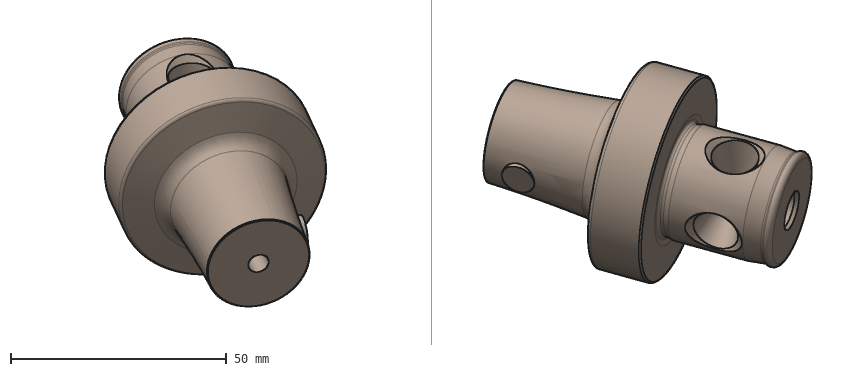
import cadquery as cq
import math

TOTAL_LENGTH = 72.0
FLANGE_START = 28.0
CONE_BACK = 41.2
OUTER_RADIUS = 25.0

SHANK_RADIUS = 14.0
BEAD_RADIUS = 1.2
BEAD_EXIT_ANGLE = math.radians(30)
VALLEY_DEPTH = 0.47
VALLEY_ROUNDING = 0.7
LEAD_IN_END = 6.9

UNDERCUT_START = 25.4
UNDERCUT_DEPTH = 0.35
UNDERCUT_ANGLE = math.radians(15)
UNDERCUT_ROUNDING = 0.7
FACE_RELIEF_RADIUS = 15.85
FACE_RELIEF_ANGLE = math.radians(8)

RIM_CHAMFER = 0.4
RIM_ROUNDING = 0.9
CONE_ANGLE = math.radians(15)

NOSE_ROOT_RADIUS = 14.55
NOSE_MIDDLE_X = 59.05
NOSE_MIDDLE_RADIUS = 13.1
NOSE_END_RADIUS = 12.4
NOSE_FILLET = 3.95
NOSE_CHAMFER = 0.2

THROUGH_RADIUS = 2.45
BORE_RADIUS = 4.3
BORE_DEPTH = 28.8
BORE_TIP_ANGLE = math.radians(60)
BORE_CHAMFER_WIDTH = 0.4
BORE_CHAMFER_LENGTH = 1.0

CROSS_HOLE_X = 14.1
CROSS_HOLE_NECK_RADIUS = 5.55
CROSS_HOLE_NECK_HEIGHT = 12.45
CROSS_HOLE_ANGLE = math.radians(15)
COUNTERSINK_HEIGHT = 2.9

SCREW_X = 62.9
SCREW_RADIUS = 4.0
SCREW_TOP = 13.3
SCREW_LENGTH = 7.2

BEAD_EXIT_X = BEAD_RADIUS * (1 + math.sin(BEAD_EXIT_ANGLE))
BEAD_EXIT_RADIUS = SHANK_RADIUS - BEAD_RADIUS * (1 - math.cos(BEAD_EXIT_ANGLE))
VALLEY_RADIUS = SHANK_RADIUS - VALLEY_DEPTH
VALLEY_X = BEAD_EXIT_X + (BEAD_EXIT_RADIUS - VALLEY_RADIUS) / math.tan(BEAD_EXIT_ANGLE)
UNDERCUT_RADIUS = SHANK_RADIUS - UNDERCUT_DEPTH
UNDERCUT_CORNER_X = FLANGE_START + (FACE_RELIEF_RADIUS - UNDERCUT_RADIUS) * math.tan(FACE_RELIEF_ANGLE)
NOSE_ROOT_X = CONE_BACK + (OUTER_RADIUS - NOSE_ROOT_RADIUS) * math.tan(CONE_ANGLE)


def body_outline():
    """Half section of the body in the XY plane: X along the axis, Y as radius."""
    bead_middle = BEAD_RADIUS * math.sqrt(0.5)
    undercut_slope_end = UNDERCUT_START + UNDERCUT_DEPTH / math.tan(UNDERCUT_ANGLE)
    return (
        cq.Workplane("XY")
        .lineTo(0, SHANK_RADIUS - BEAD_RADIUS)
        .threePointArc(
            (BEAD_RADIUS - bead_middle, SHANK_RADIUS - BEAD_RADIUS + bead_middle),
            (BEAD_EXIT_X, BEAD_EXIT_RADIUS),
        )
        .lineTo(VALLEY_X, VALLEY_RADIUS)
        .lineTo(LEAD_IN_END, SHANK_RADIUS)
        .lineTo(UNDERCUT_START, SHANK_RADIUS)
        .lineTo(undercut_slope_end, UNDERCUT_RADIUS)
        .lineTo(UNDERCUT_CORNER_X, UNDERCUT_RADIUS)
        .lineTo(FLANGE_START, FACE_RELIEF_RADIUS)
        .lineTo(FLANGE_START, OUTER_RADIUS - RIM_CHAMFER)
        .lineTo(FLANGE_START + RIM_CHAMFER, OUTER_RADIUS)
        .lineTo(CONE_BACK, OUTER_RADIUS)
        .lineTo(NOSE_ROOT_X, NOSE_ROOT_RADIUS)
        .threePointArc((NOSE_MIDDLE_X, NOSE_MIDDLE_RADIUS), (TOTAL_LENGTH, NOSE_END_RADIUS))
        .lineTo(TOTAL_LENGTH, 0)
        .close()
    )


def circle_edge_at(x, radius):
    """Selector for the circular edge around the X axis at one station and radius."""
    margin = 0.035
    reach = radius + margin
    return cq.selectors.BoxSelector(
        (x - margin, -reach, -reach), (x + margin, reach, reach), boundingbox=True
    )


def make_blank():
    """Turned outside of the body with its round transitions."""
    blank = body_outline().revolve(360, (0, 0, 0), (1, 0, 0))
    roundings = [
        (VALLEY_X, VALLEY_RADIUS, VALLEY_ROUNDING),
        (UNDERCUT_CORNER_X, UNDERCUT_RADIUS, UNDERCUT_ROUNDING),
        (CONE_BACK, OUTER_RADIUS, RIM_ROUNDING),
        (NOSE_ROOT_X, NOSE_ROOT_RADIUS, NOSE_FILLET),
    ]
    for x, radius, rounding in roundings:
        blank = blank.edges(circle_edge_at(x, radius)).fillet(rounding)
    return blank.faces(">X").edges().chamfer(NOSE_CHAMFER)


def make_axial_bore():
    """Stepped bore with a chamfered mouth and a conical step, as a cutting shape."""
    tip_end = BORE_DEPTH + (BORE_RADIUS - THROUGH_RADIUS) / math.tan(BORE_TIP_ANGLE)
    return (
        cq.Workplane("XY")
        .lineTo(0, BORE_RADIUS + BORE_CHAMFER_WIDTH)
        .lineTo(BORE_CHAMFER_LENGTH, BORE_RADIUS)
        .lineTo(BORE_DEPTH, BORE_RADIUS)
        .lineTo(tip_end, THROUGH_RADIUS)
        .lineTo(TOTAL_LENGTH, THROUGH_RADIUS)
        .lineTo(TOTAL_LENGTH, 0)
        .close()
        .revolve(360, (0, 0, 0), (1, 0, 0))
    )


def make_cross_hole():
    """Countersunk conical hole pointing to +Z, from the axis outwards, as a cutting shape."""
    axis_radius = CROSS_HOLE_NECK_RADIUS - CROSS_HOLE_NECK_HEIGHT * math.tan(CROSS_HOLE_ANGLE)
    top = CROSS_HOLE_NECK_HEIGHT + COUNTERSINK_HEIGHT
    return (
        cq.Workplane("XZ")
        .lineTo(axis_radius, 0)
        .lineTo(CROSS_HOLE_NECK_RADIUS, CROSS_HOLE_NECK_HEIGHT)
        .lineTo(CROSS_HOLE_NECK_RADIUS + COUNTERSINK_HEIGHT, top)
        .lineTo(0, top)
        .close()
        .revolve(360, (0, 0, 0), (0, 1, 0))
        .translate((CROSS_HOLE_X, 0, 0))
    )


def make_screw():
    """Plain cylindrical clamping screw along Y."""
    screw_bottom = SCREW_TOP - SCREW_LENGTH
    return (
        cq.Workplane("XZ", origin=(SCREW_X, screw_bottom, 0))
        .circle(SCREW_RADIUS)
        .extrude(-SCREW_LENGTH)
    )


def make_body(screw):
    """Holder body with its bore, cross holes and screw seat."""
    body = make_blank().cut(make_axial_bore())
    for turn in (0, -90):
        body = body.cut(make_cross_hole().rotate((0, 0, 0), (1, 0, 0), turn))
    return body.cut(screw)


clamping_screw = make_screw()
holder_body = make_body(clamping_screw)

result = cq.Compound.makeCompound([holder_body.val(), clamping_screw.val()])